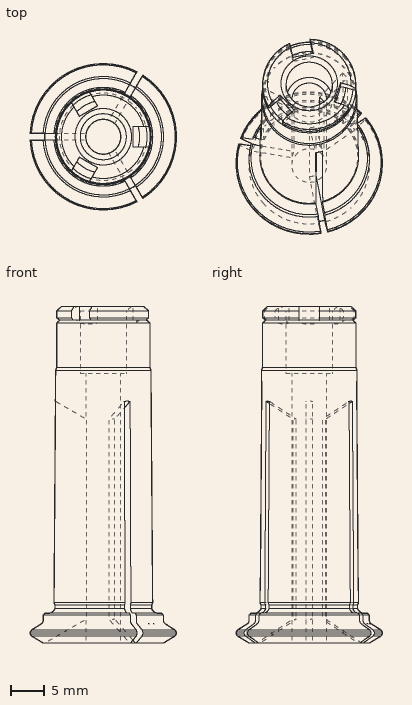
import cadquery as cq
import math

TOTAL_HEIGHT = 50.5
SEAT_Z = 4.5
BODY_BOTTOM_Z = 6.05
BODY_TOP_Z = 40.9
NECK_TOP_Z = 48.0
NOTCH_FLOOR_Z = 48.45

FLANGE_R = 21.95 / 2
FLANGE_BOTTOM_R = 9.05
COLLAR_R = 9.05
BODY_BOTTOM_R = 7.4
BODY_TOP_R = 7.15
NECK_R = 7.0
RING_R = 14.0 / 2
RING_TOP_R = 6.25
GROOVE_R = 6.55
RELIEF_R = 7.25

RIM_LOW_Z = 1.35
RIM_HIGH_Z = 1.65
RIM_BEVEL_RISE = 0.3
RIM_INSET = 0.2
CONE_TOP_Z = 2.9
CONE_TOP_R = 9.35
COLLAR_BOTTOM_Z = 3.35
COLLAR_CHAMFER = 0.3
SEAT_FILLET = 1.0
SEAT_FILLET_R = 8.25
RELIEF_CHAMFER_DROP = 0.35
SHOULDER_RISE = 0.45
RING_CHAMFER_HEIGHT = 0.65
RING_UNDERCUT = 0.35

BORE_D = 5.2
COUNTERBORE_D = 6.9
MOUTH_D = 8.5
MOUTH_DEPTH = 0.7
COUNTERBORE_DEPTH = 10.1

COUNT = 3
PITCH = 360 / COUNT
SLOT_WIDTH = 1.0
SLOT_ANGLE = 180.0
SLOT_END_SLOPE = math.tan(math.radians(30))
SLOT_TOP_Z = 36.25
SLOT_FOOT_R = 8.8
NOTCH_ANGLE = 0.0
NOTCH_WIDTH = 3.15
NOTCH_WALL_R = 4.45
NOTCH_CONE_R = 10.9 / 2
NOTCH_CONE_SLOPE = math.tan(math.radians(30))
CLEARANCE = 2.5


def revolved_body():
    """Solid of revolution with the whole outer contour."""
    fillet_run = SEAT_FILLET_R - RELIEF_R
    fillet_top_z = SEAT_Z + SEAT_FILLET - math.sqrt(SEAT_FILLET**2 - fillet_run**2)
    profile = (
        cq.Workplane("XZ")
        .lineTo(FLANGE_BOTTOM_R, 0)
        .lineTo(FLANGE_R - RIM_INSET, RIM_LOW_Z - RIM_BEVEL_RISE)
        .lineTo(FLANGE_R, RIM_LOW_Z)
        .lineTo(FLANGE_R, RIM_HIGH_Z)
        .lineTo(FLANGE_R - RIM_INSET, RIM_HIGH_Z + RIM_BEVEL_RISE)
        .lineTo(CONE_TOP_R, CONE_TOP_Z)
        .tangentArcPoint((COLLAR_R, COLLAR_BOTTOM_Z), relative=False)
        .lineTo(COLLAR_R, SEAT_Z - COLLAR_CHAMFER)
        .lineTo(COLLAR_R - COLLAR_CHAMFER, SEAT_Z)
        .lineTo(SEAT_FILLET_R, SEAT_Z)
        .tangentArcPoint((RELIEF_R, fillet_top_z), relative=False)
        .lineTo(RELIEF_R, BODY_BOTTOM_Z - RELIEF_CHAMFER_DROP)
        .lineTo(BODY_BOTTOM_R, BODY_BOTTOM_Z)
        .lineTo(BODY_TOP_R, BODY_TOP_Z)
        .lineTo(NECK_R, BODY_TOP_Z + SHOULDER_RISE)
        .lineTo(NECK_R, NECK_TOP_Z)
        .lineTo(GROOVE_R, NOTCH_FLOOR_Z)
        .lineTo(RING_R, NOTCH_FLOOR_Z + RING_UNDERCUT)
        .lineTo(RING_R, TOTAL_HEIGHT - RING_CHAMFER_HEIGHT)
        .lineTo(RING_TOP_R, TOTAL_HEIGHT)
        .lineTo(0, TOTAL_HEIGHT)
        .close()
    )
    return profile.revolve(360, (0, 0, 0), (0, 1, 0))


def bore():
    """Through bore with a counterbore and a conical mouth at the top."""
    bore_r = BORE_D / 2
    counterbore_r = COUNTERBORE_D / 2
    step_z = TOTAL_HEIGHT - COUNTERBORE_DEPTH
    profile = (
        cq.Workplane("XZ")
        .lineTo(bore_r, 0)
        .lineTo(bore_r, step_z)
        .lineTo(counterbore_r, step_z)
        .lineTo(counterbore_r, TOTAL_HEIGHT - MOUTH_DEPTH)
        .lineTo(MOUTH_D / 2, TOTAL_HEIGHT)
        .lineTo(0, TOTAL_HEIGHT)
        .close()
    )
    return profile.revolve(360, (0, 0, 0), (0, 1, 0))


def radial_cutter(points, width, angle):
    """Prism from a radius-height outline, centred on the given direction."""
    prism = cq.Workplane("XZ").polyline(points).close().extrude(width / 2, both=True)
    return prism.rotate((0, 0, 0), (0, 0, 1), angle)


def slot(angle):
    """Radial slot into the bore; both ends run at the same slope."""
    outer_r = FLANGE_R + CLEARANCE

    def floor_z(radius):
        return (SLOT_FOOT_R - radius) * SLOT_END_SLOPE

    def roof_z(radius):
        return SLOT_TOP_Z - (BODY_TOP_R - radius) * SLOT_END_SLOPE

    outline = [
        (0, floor_z(0)),
        (outer_r, floor_z(outer_r)),
        (outer_r, roof_z(outer_r)),
        (0, roof_z(0)),
    ]
    return radial_cutter(outline, SLOT_WIDTH, angle)


def notch(angle):
    """Drive notch in the top ring; its floor dips along a cone toward a flat inner wall."""
    outer_r = RING_R + CLEARANCE
    cone_depth = NOTCH_CONE_R * NOTCH_CONE_SLOPE
    outline = [
        (NOTCH_WALL_R, TOTAL_HEIGHT),
        (NOTCH_WALL_R, NOTCH_FLOOR_Z - cone_depth),
        (outer_r, NOTCH_FLOOR_Z - cone_depth),
        (outer_r, TOTAL_HEIGHT),
    ]
    floor_cone = (
        cq.Workplane("XZ")
        .moveTo(0, NOTCH_FLOOR_Z - cone_depth)
        .lineTo(NOTCH_CONE_R, NOTCH_FLOOR_Z)
        .lineTo(outer_r, NOTCH_FLOOR_Z)
        .lineTo(outer_r, TOTAL_HEIGHT)
        .lineTo(0, TOTAL_HEIGHT)
        .close()
        .revolve(360, (0, 0, 0), (0, 1, 0))
    )
    return radial_cutter(outline, NOTCH_WIDTH, angle).intersect(floor_cone)


result = revolved_body().cut(bore())
for index in range(COUNT):
    turn = index * PITCH
    result = result.cut(slot(SLOT_ANGLE + turn))
    result = result.cut(notch(NOTCH_ANGLE + turn))